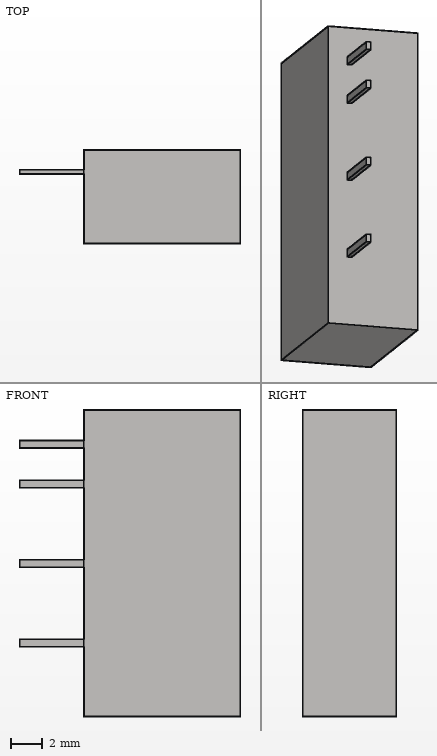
import cadquery as cq

body_width = 10.0
body_depth = 6.0
body_height = 19.6

pin_length = 4.1
pin_thickness = 0.3
pin_width = 0.49
lowest_pin_height = 4.7
pin_slots = (0, 2, 4, 5)
pin_row_span = 12.7
pin_pitch = pin_row_span / pin_slots[-1]
pin_inset = 1.41


def make_body():
    return cq.Workplane("XY").box(body_width, body_depth, body_height, centered=(False, False, False))


def make_pin(slot):
    """Flat pin reaching from the body's -X face."""
    pin_y = body_depth - pin_inset
    pin_z = lowest_pin_height + slot * pin_pitch
    return (
        cq.Workplane("YZ")
        .center(pin_y, pin_z)
        .rect(pin_thickness, pin_width)
        .extrude(-pin_length)
    )


result = make_body()
for slot in pin_slots:
    result = result.union(make_pin(slot))